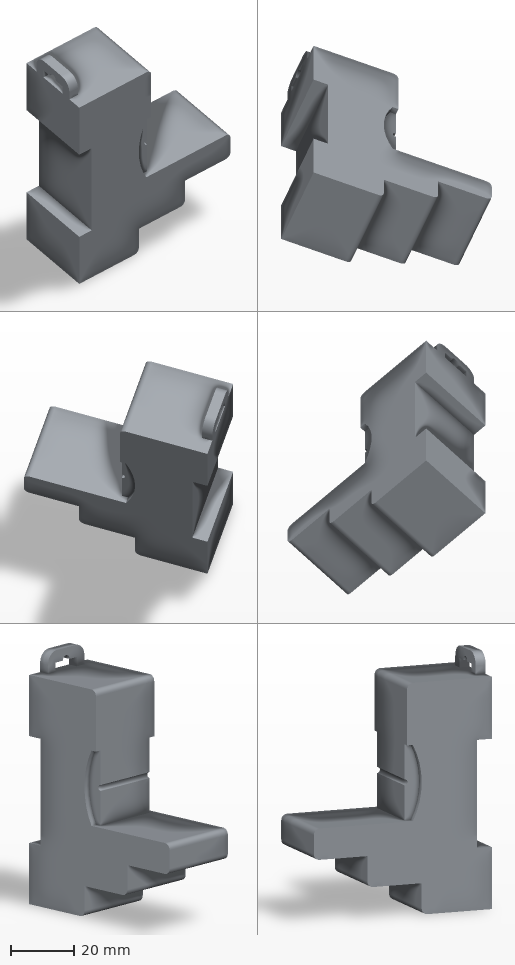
import cadquery as cq

width = 27.0
total_depth = 61.0
total_height = 82.0

body_height = 74.95
body_depth = 29.0
shelf_top = 30.3
step_height = shelf_top / 3
lower_depth = 24.0
middle_depth = 42.6
corner_radius = 2.0

rail_bottom = 20.0
rail_top = 54.9
rail_depth = 5.0

groove_radius = 1.0

pocket_top = 54.9
pocket_end_depth = 2.0
pocket_mid_depth = 5.0
pocket_inset = 2.1
pocket_middle = (shelf_top + pocket_top) / 2

tab_width = 16.8
tab_thickness = 3.45
tab_corner_radius = 4.0
window_width = 9.75
window_height = 3.0
keyhole_radius = 1.52


def make_body():
    """Stepped side profile extruded over the width, with rounded front corners."""
    profile = [
        (0, 0),
        (lower_depth, 0),
        (lower_depth, step_height),
        (middle_depth, step_height),
        (middle_depth, 2 * step_height),
        (total_depth, 2 * step_height),
        (total_depth, shelf_top),
        (body_depth, shelf_top),
        (body_depth, body_height),
        (0, body_height),
        (0, rail_top),
        (rail_depth, rail_top),
        (rail_depth, rail_bottom),
        (0, rail_bottom),
    ]
    rounded_corners = [
        (lower_depth, 0),
        (middle_depth, step_height),
        (total_depth, 2 * step_height),
        (total_depth, shelf_top),
        (body_depth, body_height),
    ]
    body = cq.Workplane("YZ").polyline(profile).close().extrude(width / 2, both=True)
    for y, z in rounded_corners:
        corner_edge = cq.selectors.NearestToPointSelector((0, y, z))
        body = body.edges(corner_edge).fillet(corner_radius)
    return body


def make_groove():
    """Round bar along X, centred on the front face at mid pocket height."""
    return (
        cq.Workplane("YZ")
        .center(body_depth, pocket_middle)
        .circle(groove_radius)
        .extrude(width / 2, both=True)
    )


def make_pocket(side):
    """Pocket volume on one flank: side is -1 for the -X flank, 1 for the +X flank."""
    return (
        cq.Workplane("YZ", origin=(side * width / 2, 0, 0))
        .moveTo(body_depth, shelf_top)
        .lineTo(body_depth - pocket_end_depth, shelf_top)
        .threePointArc(
            (body_depth - pocket_mid_depth, pocket_middle),
            (body_depth - pocket_end_depth, pocket_top),
        )
        .lineTo(body_depth, pocket_top)
        .close()
        .extrude(-side * pocket_inset)
    )


def make_tab():
    """Rounded tab with a rectangular window and a keyhole bump above it."""
    tab_height = total_height - body_height
    tab = (
        cq.Workplane("XY", origin=(0, 0, body_height))
        .box(tab_width, tab_thickness, tab_height, centered=(True, False, False))
        .edges("|Y and >Z")
        .fillet(tab_corner_radius)
    )
    window = (
        cq.Workplane("XY", origin=(0, 0, body_height))
        .box(window_width, tab_thickness, window_height, centered=(True, False, False))
    )
    keyhole = (
        cq.Workplane("XZ", origin=(0, 0, body_height + window_height))
        .circle(keyhole_radius)
        .extrude(-tab_thickness)
    )
    return tab.cut(window).cut(keyhole)


result = make_body().union(make_tab()).cut(make_groove())
for flank in (-1, 1):
    result = result.cut(make_pocket(flank))

result = result.translate((0, -total_depth / 2, -total_height / 2))